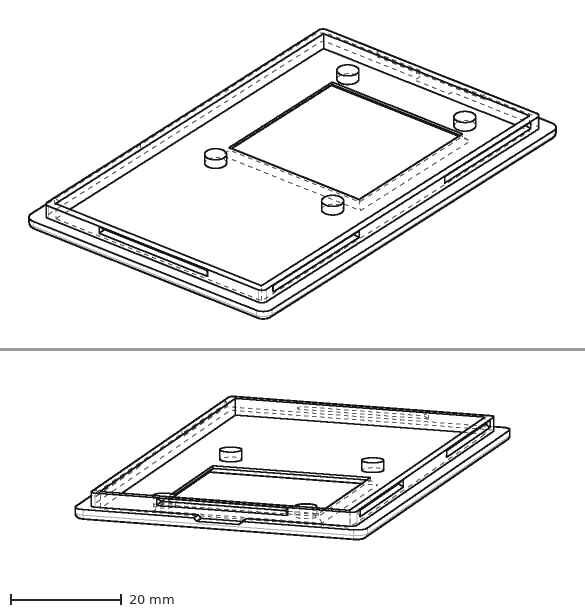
import cadquery as cq

plate_length_x = 55.5
plate_length_y = 86.0
plate_thickness = 2.0
plate_corner_radius = 2.0
bottom_edge_radius = 1.0

total_height = 4.6
rim_inset = 2.5
rim_thickness = 1.5
rim_corner_radius = 1.0
rim_length_x = plate_length_x - 2 * rim_inset
rim_length_y = plate_length_y - 2 * rim_inset

floor_thickness = 1.5
cavity_length_x = rim_length_x - 2 * rim_thickness
cavity_length_y = rim_length_y - 2 * rim_thickness

window_size = 30.0
window_center_y = 15.5
window_bevel = 1.0
window_bevel_angle = 45.0

peg_diameter = 4.0
peg_height = 1.8
peg_spacing_x = 27.0
peg_spacing_y = 38.5
peg_center_y = 13.9

groove_length = 25.0
groove_depth = 0.7
groove_center_z = 3.85
side_groove_offset_y = 25.0

notch_top_width = 9.2
notch_depth = 0.6


def make_plate():
    """Rounded plate with a filleted bottom edge."""
    plate = cq.Workplane("XY").box(
        plate_length_x, plate_length_y, plate_thickness, centered=(True, True, False)
    )
    plate = plate.edges("|Z").fillet(plate_corner_radius)
    return plate.faces("<Z").edges().fillet(bottom_edge_radius)


def make_rim_block():
    """Solid block from the plate top to the rim top; the cavity is cut later."""
    block = (
        cq.Workplane("XY")
        .workplane(offset=plate_thickness)
        .rect(rim_length_x, rim_length_y)
        .extrude(total_height - plate_thickness)
    )
    return block.edges("|Z").fillet(rim_corner_radius)


def make_cavity():
    """Pocket inside the rim, down to the recessed floor."""
    return (
        cq.Workplane("XY")
        .workplane(offset=floor_thickness)
        .rect(cavity_length_x, cavity_length_y)
        .extrude(total_height - floor_thickness)
    )


def make_window():
    """Square opening through the floor, bevelled outwards towards the underside."""
    opening = (
        cq.Workplane("XY")
        .center(0, window_center_y)
        .rect(window_size, window_size)
        .extrude(floor_thickness)
    )
    bevel_bottom_size = window_size + 2 * window_bevel
    bevel = (
        cq.Workplane("XY")
        .center(0, window_center_y)
        .rect(bevel_bottom_size, bevel_bottom_size)
        .extrude(window_bevel, taper=window_bevel_angle)
    )
    return opening.union(bevel)


def make_pegs():
    """Four round pegs standing on the floor."""
    return (
        cq.Workplane("XY")
        .workplane(offset=floor_thickness)
        .center(0, peg_center_y)
        .rarray(peg_spacing_x, peg_spacing_y, 2, 2)
        .circle(peg_diameter / 2)
        .extrude(peg_height)
    )


def make_groove(wall_distance, offset_along, turn):
    """V-groove cutter with 45-degree ends for a -Y wall face, turned about Z into place."""
    half_length = groove_length / 2
    plan = (
        cq.Workplane("XY")
        .polyline(
            [
                (-half_length, 0),
                (-half_length + groove_depth, groove_depth),
                (half_length - groove_depth, groove_depth),
                (half_length, 0),
            ]
        )
        .close()
        .extrude(groove_depth, both=True)
    )
    section = (
        cq.Workplane("YZ")
        .polyline([(0, -groove_depth), (groove_depth, 0), (0, groove_depth)])
        .close()
        .extrude(half_length, both=True)
    )
    wedge = plan.intersect(section).translate((offset_along, -wall_distance, groove_center_z))
    return wedge.rotate((0, 0, 0), (0, 0, 1), turn)


def make_notch():
    """Shallow notch with 45-degree sides, open through the +Y plate edge."""
    half_top = notch_top_width / 2
    half_bottom = half_top - notch_depth
    notch_floor = plate_thickness - notch_depth
    return (
        cq.Workplane("XZ", origin=(0, rim_length_y / 2, 0))
        .polyline(
            [
                (-half_top, plate_thickness),
                (-half_bottom, notch_floor),
                (half_bottom, notch_floor),
                (half_top, plate_thickness),
            ]
        )
        .close()
        .extrude(-rim_inset)
    )


result = make_plate().union(make_rim_block())
result = result.cut(make_cavity())
result = result.cut(make_window())
result = result.union(make_pegs())
for turn in (0, 180):
    result = result.cut(make_groove(rim_length_y / 2, 0, turn))
for turn in (90, 270):
    for side in (-1, 1):
        result = result.cut(make_groove(rim_length_x / 2, side * side_groove_offset_y, turn))
result = result.cut(make_notch())